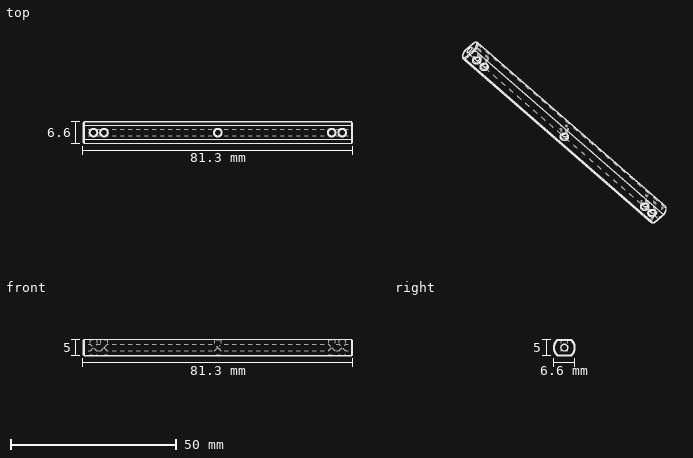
import cadquery as cq

length = 81.25
bar_diameter = 6.6
flat_height = 5.0
end_chamfer = 0.3

hole_diameter = 2.0
countersink_diameter = 2.6
countersink_half_angle = 45.0
outer_hole_inset = 3.1
pair_spacing = 3.2


def flattened_bar():
    """Round bar cut to two parallel flats, with chamfered ends."""
    bar = cq.Workplane("YZ").circle(bar_diameter / 2).extrude(length / 2, both=True)
    flats = cq.Workplane("XY").box(length, bar_diameter, flat_height)
    return bar.intersect(flats).faces("<X or >X").chamfer(end_chamfer)


def lengthwise_bore():
    """Cylinder along the whole bar axis."""
    return cq.Workplane("YZ").circle(hole_diameter / 2).extrude(length / 2, both=True)


def cross_hole(x):
    """Vertical through hole at x, countersunk at 90 degrees on both flats."""
    hole = cq.Workplane("XY", origin=(x, 0, 0)).circle(hole_diameter / 2).extrude(flat_height / 2, both=True)
    sink_depth = (countersink_diameter - hole_diameter) / 2
    for side in (1, -1):
        mouth = cq.Workplane("XY", origin=(x, 0, side * flat_height / 2)).circle(countersink_diameter / 2)
        hole = hole.union(mouth.extrude(-side * sink_depth, taper=countersink_half_angle))
    return hole


outer_x = length / 2 - outer_hole_inset
inner_x = outer_x - pair_spacing

result = flattened_bar().cut(lengthwise_bore())
for hole_x in (-outer_x, -inner_x, 0, inner_x, outer_x):
    result = result.cut(cross_hole(hole_x))